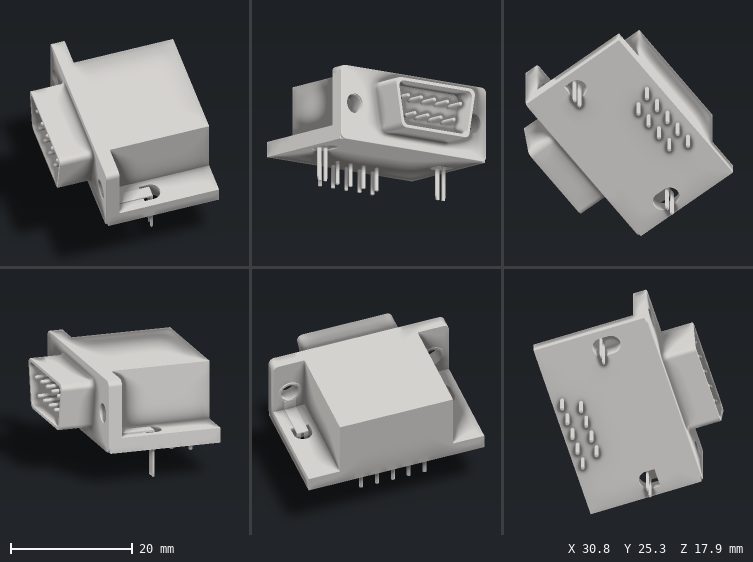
import cadquery as cq
import math


width = 30.8
height = 12.5
body_depth = 19.53
body_width = 19.85
base_height = 2.55
flange_back = 2.35
plate_thickness = 0.35
corner_radius = 1.0
plate_edge_radius = 0.12

axis_height = height / 2
shell_length = 5.75
shell_height = 8.4
shell_mid_width = 15.55
shell_slope = 10.0
shell_corner_radius = 1.02
shell_root_radius = 0.52
shell_rim_radius = 0.05
shell_wall = 0.52
cavity_corner_radius = 1.0
cavity_depth = 3.7

contact_diameter = 0.65
contact_pitch = 2.77
contact_row_gap = 2.83
contact_tip = 5.57
contact_seat = 0.3
contact_tip_chamfer = 0.15
top_row_count = 5
bottom_row_count = 4
tail_length = 3.88
front_tail_y = 14.9
tail_chamfer = 0.1

mount_spacing = 25.0
mount_hole_diameter = 3.2
plate_hole_diameter = 3.33
boss_diameter = 4.0
boss_thickness = 0.22

slot_width = 3.2
slot_rear_center = 8.6
slot_front_center = 7.05

lock_width = 2.0
lock_thickness = 0.3
lock_top = 4.62
lock_rise = 0.22
lock_back = 8.7
lock_bend_radius = 0.15
leg_length = 5.4
prong_gap = 0.68
prong_taper_width = 0.2
prong_taper_length = 0.75

mount_xs = (-mount_spacing / 2, mount_spacing / 2)


def box(x_range, y_range, z_range):
    """Axis-aligned box between the given limits."""
    sizes = [high - low for low, high in (x_range, y_range, z_range)]
    corner = (x_range[0], y_range[0], z_range[0])
    return cq.Workplane("XY").box(*sizes, centered=False).translate(corner)


def rod_along_y(diameter, x, z, y_start, y_end):
    """Cylinder parallel to Y between two Y positions."""
    plane = cq.Workplane("XZ", origin=(x, y_start, z))
    return plane.circle(diameter / 2).extrude(y_start - y_end)


def make_housing():
    """Base, tall centre block and flange whose upper corners are rounded."""
    half = width / 2
    base = box((-half, half), (plate_thickness, body_depth), (0, base_height))
    block = box((-body_width / 2, body_width / 2), (plate_thickness, body_depth), (0, height))
    flange = box((-half, half), (plate_thickness, flange_back), (0, height))
    flange = flange.edges("|Y and >Z").fillet(corner_radius)
    return base.union(block).union(flange)


def d_profile(inset, radius, y_start, length):
    """D-shaped prism running toward -Y, inset evenly from the shell outline."""
    slope = math.radians(shell_slope)
    half_height = shell_height / 2 - inset
    mid = shell_mid_width / 2 - inset / math.cos(slope)
    lean = half_height * math.tan(slope)
    corners = [
        (-mid - lean, half_height),
        (mid + lean, half_height),
        (mid - lean, -half_height),
        (-mid + lean, -half_height),
    ]
    plane = cq.Workplane("XZ", origin=(0, y_start, axis_height))
    return plane.polyline(corners).close().extrude(length).edges("|Y").fillet(radius)


def make_faceplate():
    """Rounded metal plate with the D-shell standing out of it."""
    plate = box((-width / 2, width / 2), (0, plate_thickness), (0, height))
    plate = plate.edges("|Y").fillet(corner_radius)
    plate = plate.faces("<Y").edges().fillet(plate_edge_radius)
    shell = d_profile(0, shell_corner_radius, plate_thickness, plate_thickness + shell_length)
    shell = shell.faces("<Y").edges().fillet(shell_rim_radius)
    plate = plate.union(shell)
    root_half_span = mount_spacing / 2
    root_margin = corner_radius
    pick_margin = plate_thickness / 10
    root = cq.selectors.BoxSelector(
        (-root_half_span, -pick_margin, root_margin),
        (root_half_span, pick_margin, height - root_margin),
        boundingbox=True,
    )
    return plate.edges(root).fillet(shell_root_radius)


def make_contacts(floor_y):
    """Straight contacts in the shell and their solder tails below the base."""
    contacts = cq.Workplane("XY")
    rows = (
        (top_row_count, axis_height + contact_row_gap / 2, front_tail_y + contact_row_gap),
        (bottom_row_count, axis_height - contact_row_gap / 2, front_tail_y),
    )
    for count, z, tail_y in rows:
        for index in range(count):
            x = (index - (count - 1) / 2) * contact_pitch
            contact = rod_along_y(contact_diameter, x, z, floor_y + contact_seat, -contact_tip)
            contact = contact.faces("<Y").chamfer(contact_tip_chamfer)
            tail = cq.Workplane("XY", origin=(x, tail_y, base_height / 2))
            tail = tail.circle(contact_diameter / 2).extrude(-base_height / 2 - tail_length)
            tail = tail.faces("<Z").chamfer(tail_chamfer)
            contacts = contacts.add(contact).add(tail)
    return contacts.combine()


def make_slot(x, rounded_front):
    """Through slot in the base: round at the rear, round or square at the front."""
    radius = slot_width / 2
    center = (x, slot_rear_center)
    slot = cq.Workplane("XY").center(*center).circle(radius).extrude(base_height)
    slot = slot.union(
        box((x - radius, x + radius), (slot_front_center, slot_rear_center), (0, base_height))
    )
    if rounded_front:
        front = cq.Workplane("XY").center(x, slot_front_center).circle(radius)
        return slot.union(front.extrude(base_height))
    keep = box((x - radius, x + radius), (slot_front_center, body_depth), (0, base_height))
    return slot.intersect(keep)


def make_board_lock(x):
    """Sheet-metal strip: up the flange, along the base and down into two prongs."""
    half = lock_width / 2
    sides = (x - half, x + half)
    strip_top = base_height + lock_rise
    strip_bottom = strip_top - lock_thickness
    upright = box(sides, (flange_back, flange_back + lock_thickness), (strip_bottom, lock_top))
    strip = box(sides, (flange_back, lock_back), (strip_bottom, strip_top))

    taper_top = prong_taper_length - leg_length
    leg_outline = [
        (-half, strip_top),
        (-half, taper_top),
        (-half + prong_taper_width, -leg_length),
        (-prong_gap / 2, -leg_length),
        (-prong_gap / 2, strip_bottom),
        (prong_gap / 2, strip_bottom),
        (prong_gap / 2, -leg_length),
        (half - prong_taper_width, -leg_length),
        (half, taper_top),
        (half, strip_top),
    ]
    leg = cq.Workplane("XZ", origin=(x, lock_back, 0))
    leg = leg.polyline(leg_outline).close().extrude(lock_thickness)

    lock = upright.union(strip).union(leg)
    bend = cq.selectors.NearestToPointSelector((x, lock_back, strip_top))
    return lock.edges("|X").edges(bend).fillet(lock_bend_radius)


boss_back = flange_back + boss_thickness
cavity_floor = cavity_depth - shell_length
result = make_housing().union(make_faceplate())
for mount_x in mount_xs:
    boss = rod_along_y(boss_diameter, mount_x, axis_height, boss_back, plate_thickness)
    slot_cut = make_slot(mount_x, rounded_front=mount_x < 0)
    mount_hole = rod_along_y(mount_hole_diameter, mount_x, axis_height, boss_back, 0)
    plate_hole = rod_along_y(plate_hole_diameter, mount_x, axis_height, plate_thickness, 0)
    result = result.union(boss).cut(slot_cut).union(make_board_lock(mount_x))
    result = result.cut(mount_hole).cut(plate_hole)

result = result.cut(d_profile(shell_wall, cavity_corner_radius, cavity_floor, cavity_depth))
result = result.union(make_contacts(cavity_floor))